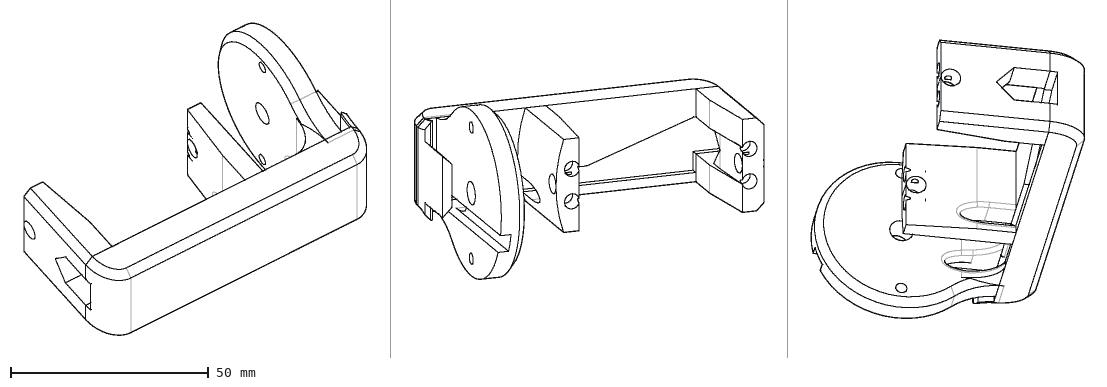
import cadquery as cq
import math


length = 83.0
half_height = 12.4
spine_x = 25.5
spine_thickness = 10.05
spine_outer_x = spine_x + spine_thickness
corner_y = 7.0
edge_chamfer = 2.0

disc_radius = 22.0
disc_back_y = 78.0
disc_thickness = 7.0
disc_front_y = disc_back_y - disc_thickness
disc_chamfer_y = disc_front_y + edge_chamfer
flare_radius = 20.0
axle_hole_diameter = 6.0
screw_hole_diameter = 2.8
screw_hole_z = 17.4

tab_thickness = 2.5
tab_front_y = length - tab_thickness
tab_x = 20.4
tab_edge_chamfer = 1.0
dovetail_x = 7.4
dovetail_half_height = 8.2

arm_tip_x = -2.6
arm_hole_diameter = 5.0
taper_x = spine_x - spine_thickness
front_arm_root = 8.05
front_arm_tip = 5.8
middle_arm_y = 48.55
middle_arm_tip_y = 49.9
middle_arm_back_y = 56.1
middle_arm_crown = 2.1

socket_diameter = 4.0
socket_depth = 5.0
socket_cone_height = 1.2
socket_z = 4.3
socket_inset = 1.9

channel_depth = 2.0
channel_x = spine_x + channel_depth
channel_width = 5.0
channel_top_z = -4.9
channel_bottom_z = channel_top_z - channel_width
channel_z = (channel_top_z + channel_bottom_z) / 2
channel_ramp_y = (8.55, 37.4)
channel_mouth_radius = 1.0
channel_mouth_y = 56.4
window_half_height = 4.9
window_shoulder_x = 16.3
window_point_x = 11.7
recess_end_y = 6.6
slot_end_centre_x = 18.6
slot_end_reach = 7.3
disc_slot_depth = 2.8
selection_margin = 0.1


def box(x, y, z):
    """Box between (low, high) pairs of limits."""
    low = (x[0], y[0], z[0])
    return cq.Workplane("XY").box(x[1] - x[0], y[1] - y[0], z[1] - z[0], centered=False).translate(low)


def prism_y(sketch_points, y_start, y_end):
    """Prism along +Y over an (x, z) outline."""
    outline = [(x, -z) for x, z in sketch_points]
    plane = cq.Plane(origin=(0, y_start, 0), xDir=(1, 0, 0), normal=(0, 1, 0))
    return cq.Workplane(plane).polyline(outline).close().extrude(y_end - y_start)


def hole_y(diameter, x, z):
    """Round cutter along the whole length of the frame."""
    return cq.Workplane("XZ", origin=(x, length, z)).circle(diameter / 2).extrude(length)


def cable_slot(y_start, y_end):
    """Cutter for the cable passage: a slot with a long half-elliptical end away from the spine."""
    half = channel_width / 2
    return (
        cq.Workplane("XZ", origin=(0, y_end, channel_z))
        .moveTo(channel_x, half)
        .lineTo(slot_end_centre_x, half)
        .ellipseArc(slot_end_reach, half, 90, 270)
        .lineTo(channel_x, -half)
        .close()
        .extrude(y_end - y_start)
    )


def round_slot_mouth(arm, y_start, y_end):
    """Round the slot edges that lie on the front of an arm, between two Y limits."""
    end_x = slot_end_centre_x - slot_end_reach - selection_margin
    low = (end_x, y_start, channel_bottom_z - selection_margin)
    high = (spine_x - selection_margin, y_end, channel_top_z + selection_margin)
    return arm.edges(cq.selectors.BoxSelector(low, high)).fillet(channel_mouth_radius)


def flared_plate(y_start, y_end, chamfered_side):
    """Disc with two concave flanks that run tangentially into the spine's height."""
    centre_z = half_height + flare_radius
    reach = disc_radius + flare_radius
    end_x = math.sqrt(reach**2 - centre_z**2)
    join_x = end_x * disc_radius / reach
    join_z = centre_z * disc_radius / reach
    middle_angle = math.asin(end_x / reach) / 2
    mid_x = end_x - flare_radius * math.sin(middle_angle)
    mid_z = centre_z - flare_radius * math.cos(middle_angle)
    plate = (
        cq.Workplane("XZ", origin=(0, y_end, 0))
        .moveTo(end_x, half_height)
        .threePointArc((mid_x, mid_z), (join_x, join_z))
        .threePointArc((-disc_radius, 0), (join_x, -join_z))
        .threePointArc((mid_x, -mid_z), (end_x, -half_height))
        .close()
        .extrude(y_end - y_start)
    )
    return plate.faces(chamfered_side).edges("not(>X)").chamfer(edge_chamfer)


def tip_sockets(axis_y):
    """A pair of drilled cutters with conical ends in the tip of an arm."""
    radius = socket_diameter / 2
    socket = (
        cq.Workplane("XY")
        .polyline([(0, 0), (0, radius), (socket_depth, radius), (socket_depth + socket_cone_height, 0)])
        .close()
        .revolve(360, (0, 0, 0), (1, 0, 0))
    )
    upper = socket.translate((arm_tip_x, axis_y, socket_z))
    lower = socket.translate((arm_tip_x, axis_y, -socket_z))
    return upper.union(lower)


def window():
    """Pointed window through the front arm and the front corner of the spine."""
    points = [
        (channel_x, window_half_height),
        (window_shoulder_x, window_half_height),
        (window_point_x, 0),
        (window_shoulder_x, -window_half_height),
        (channel_x, -window_half_height),
    ]
    return prism_y(points, 0, channel_ramp_y[0])


def cable_channel():
    """Cutter for the channel in the spine, which ramps up to the window at the front."""
    ramp_start, ramp_end = channel_ramp_y
    return (
        cq.Workplane("YZ", origin=(spine_x, 0, 0))
        .moveTo(front_arm_root, channel_bottom_z)
        .lineTo(tab_front_y, channel_bottom_z)
        .lineTo(tab_front_y, channel_top_z)
        .lineTo(ramp_end, channel_top_z)
        .lineTo(ramp_start, window_half_height)
        .lineTo(front_arm_root, window_half_height)
        .close()
        .extrude(channel_depth)
    )


def channel_mouth():
    """Cutter that rounds the channel edges between the middle arm and the disc."""
    half = channel_width / 2
    r = channel_mouth_radius
    plane = cq.Plane(origin=(spine_x, disc_front_y, channel_z), xDir=(1, 0, 0), normal=(0, -1, 0))
    return (
        cq.Workplane(plane)
        .moveTo(0, half + r)
        .radiusArc((r, half), -r)
        .lineTo(r, -half)
        .radiusArc((0, -half - r), -r)
        .close()
        .extrude(disc_front_y - channel_mouth_y)
    )


def make_spine():
    bar = (
        cq.Workplane("XY", origin=(0, 0, -half_height))
        .moveTo(spine_x, 0)
        .ellipseArc(spine_thickness, corner_y, -90, 0)
        .lineTo(spine_outer_x, length - corner_y)
        .ellipseArc(spine_thickness, corner_y, 0, 90)
        .close()
        .extrude(2 * half_height)
    )
    bar = bar.faces("<Z or >Z").edges("not(<X)").chamfer(edge_chamfer)
    beyond_face = box((spine_x, spine_outer_x), (0, length), (-disc_radius, disc_radius))
    flare_end = flared_plate(disc_chamfer_y, length, ">Y").intersect(beyond_face)
    return bar.union(flare_end).cut(cable_channel()).cut(channel_mouth()).cut(window())


def make_disc_arm():
    plate_limits = box((-disc_radius, spine_x), (0, length), (-disc_radius, disc_radius))
    plate = flared_plate(disc_front_y, disc_back_y, "<Y").intersect(plate_limits)
    neck = (
        cq.Workplane("XY", origin=(0, 0, -half_height))
        .moveTo(spine_x, disc_front_y - corner_y)
        .ellipseArc(spine_thickness, corner_y, 0, 90)
        .lineTo(taper_x, disc_chamfer_y)
        .lineTo(spine_x, disc_chamfer_y)
        .close()
        .extrude(2 * half_height)
    )
    arm = plate.union(neck)
    arm = arm.cut(hole_y(axle_hole_diameter, 0, 0))
    for side in (-1, 1):
        arm = arm.cut(hole_y(screw_hole_diameter, 0, side * screw_hole_z))
    slot_y = (disc_back_y - disc_slot_depth, disc_back_y)
    arm = arm.cut(box((-disc_radius, spine_x), slot_y, (channel_bottom_z, channel_top_z)))
    arm = arm.cut(cable_slot(disc_front_y - corner_y, disc_back_y))
    return round_slot_mouth(arm, disc_front_y - corner_y, disc_front_y + selection_margin)


def make_mounting_tab():
    tab_limits = box((tab_x, spine_x), (tab_front_y, length), (-disc_radius, disc_radius))
    tab = flared_plate(disc_chamfer_y, length, ">Y").intersect(tab_limits)
    tab = tab.faces("<X").edges("<Y").chamfer(tab_edge_chamfer)
    narrow = dovetail_half_height - tab_thickness
    wide = dovetail_half_height
    tongue = (
        cq.Workplane("YZ", origin=(dovetail_x, 0, 0))
        .polyline([(tab_front_y, -narrow), (length, -wide), (length, wide), (tab_front_y, narrow)])
        .close()
        .extrude(spine_x - dovetail_x)
    )
    return tab.union(tongue)


def make_middle_arm():
    side_y = middle_arm_back_y - middle_arm_crown
    crowned = (
        cq.Workplane("YZ", origin=(arm_tip_x, 0, 0))
        .moveTo(middle_arm_y, -half_height)
        .lineTo(side_y, -half_height)
        .threePointArc((middle_arm_back_y, 0), (side_y, half_height))
        .lineTo(middle_arm_y, half_height)
        .close()
        .extrude(spine_x - arm_tip_x)
    )
    taper = (
        cq.Workplane("XY", origin=(0, 0, -half_height))
        .polyline([(arm_tip_x, middle_arm_y), (taper_x, middle_arm_y), (arm_tip_x, middle_arm_tip_y)])
        .close()
        .extrude(2 * half_height)
    )
    arm = crowned.cut(taper).cut(hole_y(arm_hole_diameter, 0, 0))
    arm = arm.cut(tip_sockets(middle_arm_tip_y + socket_inset))
    arm = arm.cut(cable_slot(middle_arm_y, middle_arm_back_y))
    return round_slot_mouth(arm, middle_arm_y - selection_margin, middle_arm_tip_y)


def make_front_arm():
    arm = (
        cq.Workplane("XY", origin=(0, 0, -half_height))
        .moveTo(arm_tip_x, 0)
        .lineTo(spine_x, 0)
        .lineTo(spine_x, front_arm_root)
        .lineTo(taper_x, front_arm_root)
        .lineTo(arm_tip_x, front_arm_tip)
        .close()
        .extrude(2 * half_height)
    )
    arm = arm.faces("<Y").edges("|X").chamfer(edge_chamfer)
    recess = (
        cq.Workplane("XY", origin=(0, 0, -window_half_height))
        .moveTo(arm_tip_x, front_arm_tip)
        .lineTo(window_point_x, recess_end_y)
        .lineTo(spine_x, recess_end_y)
        .lineTo(spine_x, front_arm_root)
        .lineTo(arm_tip_x, front_arm_root)
        .close()
        .extrude(2 * window_half_height)
    )
    arm = arm.cut(recess).cut(window()).cut(hole_y(arm_hole_diameter, 0, 0))
    return arm.cut(tip_sockets(front_arm_tip - socket_inset))


spine = make_spine()
disc_arm = make_disc_arm()
mounting_tab = make_mounting_tab()
middle_arm = make_middle_arm()
front_arm = make_front_arm()

result = cq.Compound.makeCompound(
    [spine.val(), disc_arm.val(), mounting_tab.val(), middle_arm.val(), front_arm.val()]
)